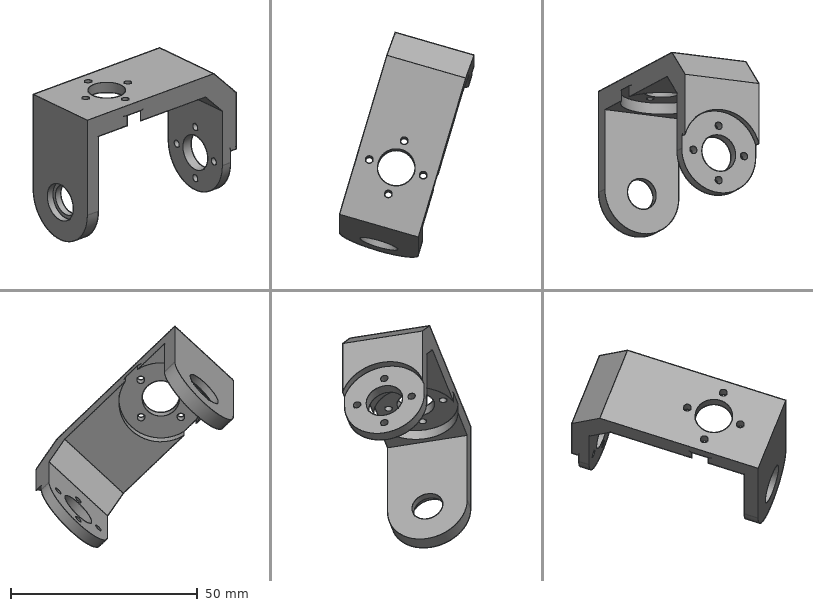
import cadquery as cq

width = 22.0
length = 53.0
height = 39.0
top_thickness = 6.0
front_leg_thickness = 4.0
back_leg_thickness = 5.0

outer_chamfer = 8.0
inner_chamfer = 6.0

back_recess = 23.0
back_recess_depth = 2.0

top_pocket = 22.45
top_pocket_depth = 3.0
top_hole_y = 16.55

mount_bore = 10.0
screw_hole = 2.0
screw_circle_radius = 7.5
pivot_bore = 8.5
pivot_counterbore = 10.5
counterbore_depth = 2.0

end_radius = width / 2
pivot_z = end_radius - height
back_inner_y = length - back_leg_thickness


def make_profile():
    """Side outline of the bent bracket, extruded across the width."""
    return (
        cq.Workplane("YZ")
        .moveTo(0, 0)
        .lineTo(length - outer_chamfer, 0)
        .lineTo(length, -outer_chamfer)
        .lineTo(length, -height)
        .lineTo(back_inner_y, -height)
        .lineTo(back_inner_y, -top_thickness - inner_chamfer)
        .lineTo(back_inner_y - inner_chamfer, -top_thickness)
        .lineTo(front_leg_thickness, -top_thickness)
        .lineTo(front_leg_thickness, -height)
        .lineTo(0, -height)
        .close()
        .extrude(width / 2, both=True)
    )


def make_end_envelope():
    """Front silhouette with a semicircular lower end, running the full length."""
    return (
        cq.Workplane("XZ")
        .moveTo(-end_radius, 0)
        .lineTo(end_radius, 0)
        .lineTo(end_radius, pivot_z)
        .threePointArc((0, -height), (-end_radius, pivot_z))
        .close()
        .extrude(-length)
    )


def mount_pattern(workplane, depth):
    """Cutter for a large bore ringed by four screw holes."""
    bore = workplane.circle(mount_bore / 2).extrude(depth)
    screws = workplane.polarArray(screw_circle_radius, 0, 360, 4).circle(screw_hole / 2).extrude(depth)
    return bore.union(screws)


def pivot_cylinder(diameter, start_y, depth):
    """Cutter on the pivot axis, running toward +Y from start_y."""
    return cq.Workplane("XZ", origin=(0, start_y, pivot_z)).circle(diameter / 2).extrude(-depth)


underside_pocket = (
    cq.Workplane("XY", origin=(0, top_hole_y, -top_thickness)).circle(top_pocket / 2).extrude(top_pocket_depth)
)
top_mount = mount_pattern(cq.Workplane("XY", origin=(0, top_hole_y, 0)), -top_thickness)
back_mount = mount_pattern(cq.Workplane("XZ", origin=(0, back_inner_y, pivot_z)), -back_leg_thickness)

result = (
    make_profile()
    .intersect(make_end_envelope())
    .cut(underside_pocket)
    .cut(pivot_cylinder(back_recess, length - back_recess_depth, back_recess_depth))
    .cut(top_mount)
    .cut(back_mount)
    .cut(pivot_cylinder(pivot_bore, 0, front_leg_thickness))
    .cut(pivot_cylinder(pivot_counterbore, 0, counterbore_depth))
)